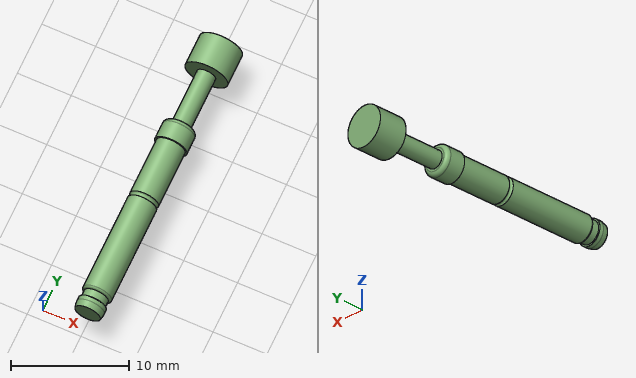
import cadquery as cq
import math

length = 27.3

head_diameter = 4.0
plunger_diameter = 1.75
collar_diameter = 3.03
barrel_diameter = 2.7
neck_diameter = 2.27
tail_diameter = 2.6
tail_end_diameter = 2.38

head_length = 3.0
plunger_length = 5.27
collar_length = 2.02
neck_length = 0.76
tail_length = 1.0
tail_straight_length = 0.4
barrel_length = length - head_length - plunger_length - collar_length - neck_length - tail_length

collar_rounding = 0.4
groove_width = 0.4
groove_depth = 0.15
groove_to_collar = 5.62

tail_end = -length / 2
tail_straight_end = tail_end + tail_length - tail_straight_length
neck_start = tail_end + tail_length
barrel_start = neck_start + neck_length
collar_start = barrel_start + barrel_length
collar_end = collar_start + collar_length
head_start = collar_end + plunger_length
head_end = head_start + head_length
groove_centre = collar_start - groove_to_collar

head_radius = head_diameter / 2
plunger_radius = plunger_diameter / 2
collar_radius = collar_diameter / 2
barrel_radius = barrel_diameter / 2
neck_radius = neck_diameter / 2
tail_radius = tail_diameter / 2
tail_end_radius = tail_end_diameter / 2

barrel_rounding = barrel_radius - neck_radius


def rounded_corner_middle(radius, station, rounding, direction):
    """Arc midpoint of a quarter-round edge; direction (+1 or -1 along Y) points into the material."""
    inset = rounding * (1 - math.sqrt(0.5))
    return (radius - inset, station + direction * inset)


crown_length = tail_length - tail_straight_length
crown_drop = tail_radius - tail_end_radius
crown_arc_radius = (crown_length**2 + crown_drop**2) / (2 * crown_drop)
crown_half_angle = math.asin(crown_length / crown_arc_radius) / 2
tail_crown_middle = (
    tail_radius - crown_arc_radius * (1 - math.cos(crown_half_angle)),
    tail_straight_end - crown_arc_radius * math.sin(crown_half_angle),
)

profile = (
    cq.Workplane("XY")
    .moveTo(0, tail_end)
    .lineTo(tail_end_radius, tail_end)
    .threePointArc(tail_crown_middle, (tail_radius, tail_straight_end))
    .lineTo(tail_radius, neck_start)
    .lineTo(neck_radius, neck_start)
    .lineTo(neck_radius, barrel_start)
    .threePointArc(
        rounded_corner_middle(barrel_radius, barrel_start, barrel_rounding, 1),
        (barrel_radius, barrel_start + barrel_rounding),
    )
    .lineTo(barrel_radius, groove_centre - groove_width / 2)
    .threePointArc(
        (barrel_radius - groove_depth, groove_centre),
        (barrel_radius, groove_centre + groove_width / 2),
    )
    .lineTo(barrel_radius, collar_start)
    .lineTo(collar_radius, collar_start)
    .lineTo(collar_radius, collar_end - collar_rounding)
    .threePointArc(
        rounded_corner_middle(collar_radius, collar_end, collar_rounding, -1),
        (collar_radius - collar_rounding, collar_end),
    )
    .lineTo(plunger_radius, collar_end)
    .lineTo(plunger_radius, head_start)
    .lineTo(head_radius, head_start)
    .lineTo(head_radius, head_end)
    .lineTo(0, head_end)
    .close()
)

result = profile.revolve(360, (0, 0, 0), (0, 1, 0))